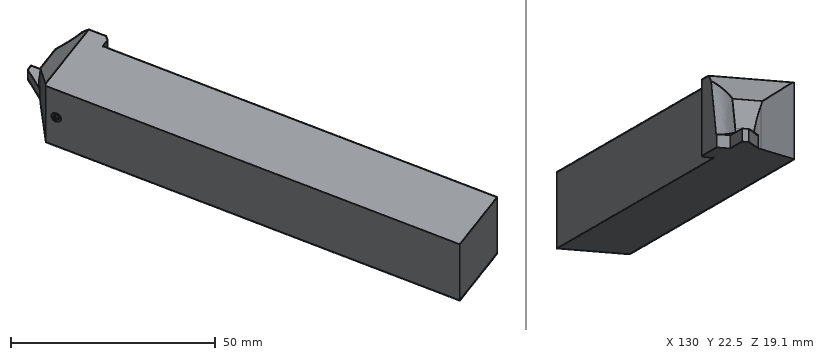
import cadquery as cq

length = 130.0
height = 19.1
shank_width = 19.0
overall_width = 22.5

tip_height = 3.2
tip_front_y = 17.3
tip_root_x = 6.0
tip_root_y = 12.6

fillet_start = (4.8, 14.0)
fillet_mid = (5.6, 13.1)
flank_start = (6.5, 11.76)
flank_end_x = 14.5

nose_bottom_x = fillet_start[0]
nose_lip_z = 4.3
nose_break_x = 6.9
nose_top_x = 14.2
nose_break_z = 12.1

shoulder_end_x = 20.0
shoulder_chamfer = 1.0
seat_x = 8.5

clearance_mid = (7.0, 20.3)
clearance_end_x = 8.8
clearance_lean = 0.25

hole_x = 17.4
hole_z = 9.6
hole_diameter = 1.4
counterbore_diameter = 2.6
counterbore_depth = 0.3
hole_depth = 0.6

margin = 1.3


def make_body():
    """Shank and head, with the concave front flank and rear shoulder."""
    return (
        cq.Workplane("XY")
        .moveTo(*fillet_start)
        .threePointArc(fillet_mid, flank_start)
        .lineTo(flank_end_x, 0)
        .lineTo(length, 0)
        .lineTo(length, shank_width)
        .lineTo(shoulder_end_x, shank_width)
        .lineTo(shoulder_end_x, overall_width - shoulder_chamfer)
        .lineTo(shoulder_end_x - shoulder_chamfer, overall_width)
        .lineTo(fillet_start[0], overall_width)
        .close()
        .extrude(height)
    )


def make_nose_cut():
    """Material ahead of the two sloping faces of the nose."""
    return (
        cq.Workplane("XZ", origin=(0, overall_width + margin, 0))
        .moveTo(-margin, 0)
        .lineTo(nose_bottom_x, 0)
        .lineTo(nose_bottom_x, nose_lip_z)
        .lineTo(nose_break_x, nose_break_z)
        .lineTo(nose_top_x, height)
        .lineTo(-margin, height)
        .close()
        .extrude(overall_width + 2 * margin)
    )


def make_clearance_cut():
    """Curved relief above the seat, swept along a leaning direction."""
    rise = height - tip_height
    profile = (
        cq.Workplane("XY", origin=(0, 0, tip_height))
        .moveTo(nose_bottom_x, shank_width)
        .threePointArc(clearance_mid, (clearance_end_x, overall_width))
        .lineTo(clearance_end_x, overall_width + margin)
        .lineTo(-length, overall_width + margin)
        .lineTo(-length, shank_width)
        .close()
    )
    direction = cq.Vector(clearance_lean * rise, 0, rise)
    return cq.Workplane(cq.Solid.extrudeLinear(profile.val(), [], direction))


def make_seat_cut():
    """Flat upright recess below the curved relief."""
    return cq.Workplane("XY").box(seat_x, overall_width, tip_height, centered=False).translate(
        (0, shank_width, 0)
    )


def make_tip():
    """Tapered cutting tip, running back into the head."""
    return (
        cq.Workplane("XY")
        .moveTo(0, shank_width)
        .lineTo(0, tip_front_y)
        .lineTo(tip_root_x, tip_root_y)
        .lineTo(seat_x, shank_width)
        .close()
        .extrude(tip_height)
    )


def make_screw_hole():
    """Counterbored blind hole in the front side."""
    side = cq.Workplane("XZ").center(hole_x, hole_z)
    counterbore = side.circle(counterbore_diameter / 2).extrude(-counterbore_depth)
    hole = side.circle(hole_diameter / 2).extrude(-hole_depth)
    return counterbore.union(hole)


head = make_body().cut(make_nose_cut()).cut(make_clearance_cut()).cut(make_seat_cut())
result = head.union(make_tip()).cut(make_screw_hole())